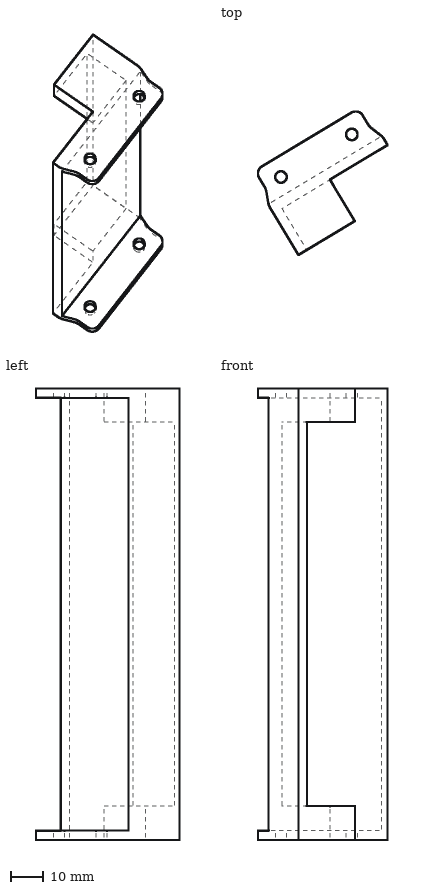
import cadquery as cq

length = 140.0
turn_angle = 31.0

wall_width = 41.3
wall_thickness = 3.4
leg_thickness = 3.1
leg_depth = 18.3

block_width = 17.4
block_height = 10.5

ear_width = 37.5
ear_reach = 11.0
ear_thickness = 3.0
ear_corner_radius = 2.5
shoulder_start = 4.5
shoulder_end = -0.4
shoulder_radius = 4.2
hole_diameter = 3.5
hole_spacing = 25.6
hole_offset = 5.2

half_wall = wall_width / 2
half_ear = ear_width / 2
leg_inner_x = leg_thickness - half_wall
selection_margin = 0.1


def box(x_min, x_max, y_min, y_max, z_min, height):
    """Box placed by its limits in X and Y, its base and its height."""
    return cq.Workplane("XY").box(
        x_max - x_min, y_max - y_min, height, centered=False
    ).translate((x_min, y_min, z_min))


def full_section():
    """Wall and ear outline, with sloping shoulders, over the full length."""
    outline = [
        (-half_wall, -wall_thickness),
        (half_wall, -wall_thickness),
        (half_wall, shoulder_end),
        (half_ear, shoulder_start),
        (half_ear, ear_reach),
        (-half_ear, ear_reach),
        (-half_ear, shoulder_start),
        (-half_wall, shoulder_end),
    ]
    section = cq.Workplane("XY").polyline(outline).close().extrude(length)
    ear_corners = section.edges("|Z").edges(">Y")
    section = ear_corners.fillet(ear_corner_radius)
    shoulder_band = cq.selectors.BoxSelector(
        (-wall_width, shoulder_end - selection_margin, 0),
        (wall_width, shoulder_start + selection_margin, length),
    )
    return section.edges("|Z").edges(shoulder_band).fillet(shoulder_radius)


body = full_section().cut(
    box(-wall_width, wall_width, 0, 2 * ear_reach, ear_thickness, length - 2 * ear_thickness)
)

body = body.union(box(-half_wall, leg_inner_x, -leg_depth, -wall_thickness, 0, length))

for base in (0, length - block_height):
    block = box(leg_inner_x, leg_inner_x + block_width, -leg_depth, -wall_thickness, base, block_height)
    body = body.union(block)

holes = (
    cq.Workplane("XY")
    .pushPoints([(-hole_spacing / 2, hole_offset), (hole_spacing / 2, hole_offset)])
    .circle(hole_diameter / 2)
    .extrude(length)
)
body = body.cut(holes)

result = body.rotate((0, 0, 0), (0, 0, 1), turn_angle)